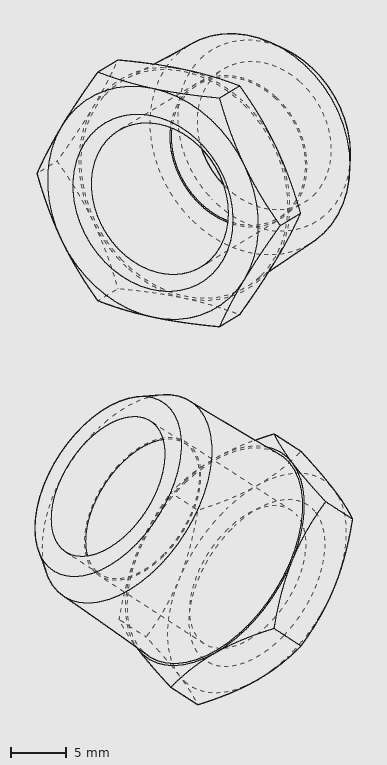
import cadquery as cq
import math

across_corners = 25.4
across_flats = across_corners * math.sqrt(3) / 2
total_length = 19.5
head_length = 5.5
head_chamfer_angle = 30.0

shank_root_diameter = 21.6
shank_tip_diameter = 20.88
end_diameter = 18.03
end_chamfer_length = 2.5

mouth_diameter = 16.71
main_bore_diameter = 14.3
end_bore_diameter = 14.0
countersink_angle = 45.0
bore_step_depth = 14.99

head_face = -total_length / 2
head_back = head_face + head_length
free_end = total_length / 2


def revolve_about_y(profile):
    """Turn a closed list of (radius, y) points around the Y axis."""
    return cq.Workplane("XY").polyline(profile).close().revolve(360, (0, 0), (0, 1))


def make_head():
    """Hexagon with both ends chamfered down to the circle touching the flats."""
    hexagon = (
        cq.Workplane("XZ", origin=(0, head_face, 0))
        .polygon(6, across_corners)
        .extrude(-head_length)
    )
    face_radius = across_flats / 2
    corner_radius = across_corners / 2
    chamfer_length = (corner_radius - face_radius) * math.tan(math.radians(head_chamfer_angle))
    envelope = revolve_about_y([
        (0, head_face),
        (face_radius, head_face),
        (corner_radius, head_face + chamfer_length),
        (corner_radius, head_back - chamfer_length),
        (face_radius, head_back),
        (0, head_back),
    ])
    return hexagon.intersect(envelope)


def make_shank():
    """Tapered shank rising from the back of the head."""
    return revolve_about_y([
        (0, head_back),
        (shank_root_diameter / 2, head_back),
        (shank_tip_diameter / 2, free_end - end_chamfer_length),
        (end_diameter / 2, free_end),
        (0, free_end),
    ])


def make_bore():
    """Through bore with a countersunk mouth, stepping down to a smaller end bore."""
    mouth_step = (mouth_diameter - main_bore_diameter) / 2
    countersink_bottom = head_face + mouth_step / math.tan(math.radians(countersink_angle))
    return revolve_about_y([
        (0, head_face),
        (mouth_diameter / 2, head_face),
        (main_bore_diameter / 2, countersink_bottom),
        (main_bore_diameter / 2, head_face + bore_step_depth),
        (end_bore_diameter / 2, head_face + bore_step_depth),
        (end_bore_diameter / 2, free_end),
        (0, free_end),
    ])


result = make_head().union(make_shank()).cut(make_bore())